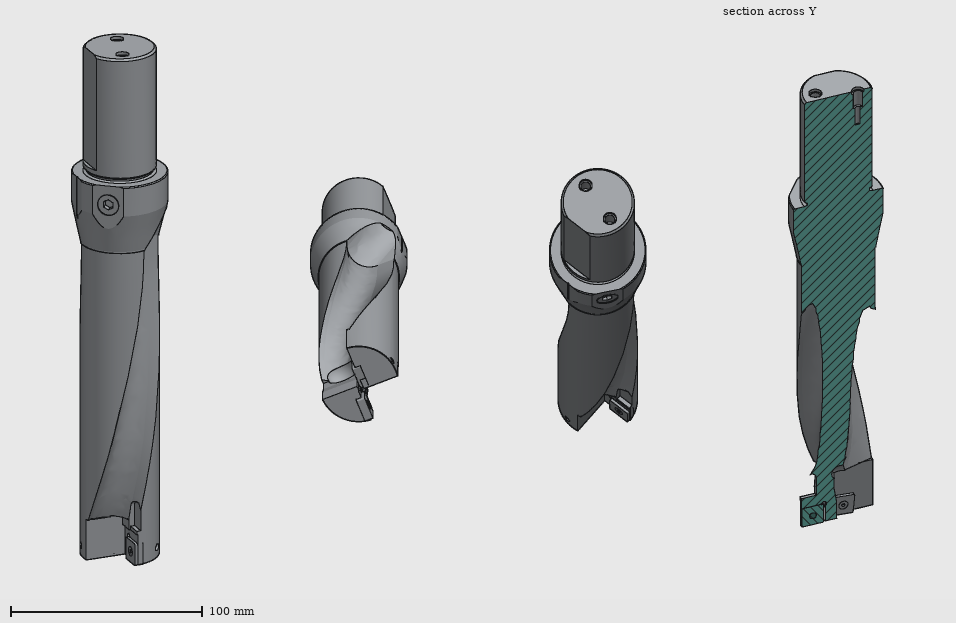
import cadquery as cq
import math

TIP_Z = 0.5
TUBE_TOP_Z = 176.5
NECK_LAND = 0.9
FLANGE_BOTTOM_Z = 198.7
FLANGE_TOP_Z = 215.2
SHANK_BOTTOM_Z = 217.0
TOTAL_HEIGHT = 284.5

TUBE_DIAMETER = 41.8
TUBE_R = TUBE_DIAMETER / 2
NECK_BASE_R = 21.3
FLANGE_R = 25.3
FLANGE_CHAMFER = 0.5
COLLAR_R = 19.4
COLLAR_HEIGHT = 0.5
GROOVE_R = 17.6
SHANK_DIAMETER = 38.5
SHANK_R = SHANK_DIAMETER / 2
SHANK_CHAMFER = 1.0
TIP_CHAMFER = 0.3

SHANK_FLAT_OFFSET = 17.0
SHANK_FLAT_BOTTOM_Z = 220.5

FRONT_FLAT_OFFSET = 24.5
MARK_WIDTH = 0.9
MARK_DEPTH = 0.43
PLUG_FLAT_OFFSET = 24.0
PLUG_ANGLE = -38.0

PLUG_Z = 204.5
PLUG_R = 5.7
PLUG_DEPTH = 7.0
PLUG_RECESS = 0.5
PLUG_HEX = 5.7
PLUG_HEX_DEPTH = 3.5

INLET_X = 10.8
INLET_Y = -3.0
INLET_STEPS = [(3.5, 1.7), (2.5, 11.5), (1.5, 22.8)]

FLUTE_WALL_OFFSET = 2.42
FLUTE_FILLET_R = 11.7
FLUTE_LIP_ANGLE = 18.0
FLUTE_LIMIT = 27.0
INNER_FLUTE_BOTTOM_Z = 31.0
OUTER_FLUTE_BOTTOM_Z = 22.8
FLARE_START_Z = 71.2
INNER_FLARE_RATE = 0.004216
OUTER_FLARE_RATE = 0.001581
FLUTE_SECTIONS = 12
TWIST_RATE = 0.7378
TWIST_RUN_IN = 53.5
INNER_FLUTE_FLOOR = 0.0
OUTER_FLUTE_FLOOR = 3.7

RUNOUT_SHIFT_X = -5.0
RUNOUT_SHIFT_Y = -18.8

BALL_R = 8.5
BALL_CENTER = (-0.9, 9.7, INNER_FLUTE_BOTTOM_Z)

SEAT_Y = 1.57
INNER_WALL_X = 0.9
INNER_RAMP_TOP_Z = 21.3
INNER_RAMP_Z = 12.0
INNER_RAMP_DEPTH = 1.5
INNER_UNDERCUT_X = 2.5
INNER_UNDERCUT_Y = 1.28
OUTER_WALL_X = 3.5
OUTER_POCKET_TOP_Z = 17.6
OUTER_LEDGE_TOP_Z = 19.5
OUTER_SHOULDER_TOP_Z = 23.3
OUTER_LAND_X = 12.5
OUTER_LAND_Y = 3.0
OUTER_LAND_TOP_Z = 34.2
OUTER_LAND_CORNER_R = 2.8

INSERT_THICKNESS = 4.5
INSERT_CORNER_R = 0.9
OUTER_INSERT_SIDE = 12.2
OUTER_INSERT_X = 14.2
OUTER_INSERT_Z = 6.3
SEAT_GAP = 0.9
SEAT_RELIEF_R = 1.5
INNER_INSERT_SIDE = 12.0
INNER_INSERT_X = -3.7
INNER_INSERT_TILT = 5.0
SCREW_HEAD_R = 2.5
SCREW_SHANK_R = 1.7
SCREW_RECESS_R = 0.9
SCREW_RECESS_DEPTH = 1.0
SCREW_LENGTH = 11.5


def half_height(side, corner_r, tilt):
    """Half the Z extent of a rounded square turned by tilt degrees."""
    core = side / 2 - corner_r
    turn = math.radians(tilt)
    return core * (math.cos(turn) + math.sin(turn)) + corner_r


INNER_INSERT_Z = half_height(INNER_INSERT_SIDE, INSERT_CORNER_R, INNER_INSERT_TILT)


def box(x_range, y_range, z_range):
    """Box between the given limits."""
    size = [high - low for low, high in (x_range, y_range, z_range)]
    corner = (x_range[0], y_range[0], z_range[0])
    return cq.Workplane("XY").box(*size, centered=False).translate(corner)


def make_blank():
    """Turned outline of tube, neck, flange and shank."""
    outline = [
        (0, TIP_Z),
        (TUBE_R - TIP_CHAMFER, TIP_Z),
        (TUBE_R, TIP_Z + TIP_CHAMFER),
        (TUBE_R, TUBE_TOP_Z),
        (NECK_BASE_R, TUBE_TOP_Z),
        (NECK_BASE_R, TUBE_TOP_Z + NECK_LAND),
        (FLANGE_R, FLANGE_BOTTOM_Z),
        (FLANGE_R, FLANGE_TOP_Z - FLANGE_CHAMFER),
        (FLANGE_R - FLANGE_CHAMFER, FLANGE_TOP_Z),
        (COLLAR_R, FLANGE_TOP_Z),
        (GROOVE_R, FLANGE_TOP_Z + COLLAR_HEIGHT),
        (GROOVE_R, SHANK_BOTTOM_Z),
        (SHANK_R - SHANK_CHAMFER, SHANK_BOTTOM_Z),
        (SHANK_R, SHANK_BOTTOM_Z + SHANK_CHAMFER),
        (SHANK_R, TOTAL_HEIGHT - SHANK_CHAMFER),
        (SHANK_R - SHANK_CHAMFER, TOTAL_HEIGHT),
        (0, TOTAL_HEIGHT),
    ]
    return cq.Workplane("XZ").polyline(outline).close().revolve(360, (0, 0), (0, 1))


def make_side_flat(offset, angle, bottom_z, top_z):
    """Cutter that leaves a flat at a distance from the axis, facing the given angle."""
    width = 2 * FLANGE_R
    cutter = box((offset, offset + width), (-width / 2, width / 2), (bottom_z, top_z))
    return cutter.rotate((0, 0, 0), (0, 0, 1), angle)


def twist(z):
    """Turn of the flute in degrees: straight at the neck, then a steady helix."""
    run = TUBE_TOP_Z - z
    return TWIST_RATE * (math.hypot(run, TWIST_RUN_IN) - TWIST_RUN_IN)


def flare(z, flare_rate):
    """Extra depth of the flute floor, growing toward the tip."""
    return flare_rate * max(FLARE_START_Z - z, 0) ** 2


def flute_section(z, floor_offset, flare_rate):
    """Flute section of a straight wall, a round and a sloping lip, turned to suit its height."""
    wall_x = -FLUTE_WALL_OFFSET
    floor_y = flare(z, flare_rate) - floor_offset
    center_x = wall_x - FLUTE_FILLET_R
    center_y = floor_y - FLUTE_FILLET_R
    diagonal = FLUTE_FILLET_R * math.sqrt(0.5)
    lip = math.radians(FLUTE_LIP_ANGLE)
    lip_x = center_x - FLUTE_FILLET_R * math.sin(lip)
    lip_y = center_y + FLUTE_FILLET_R * math.cos(lip)
    lip_end_y = lip_y - (FLUTE_LIMIT + lip_x) * math.tan(lip)
    section = (
        cq.Workplane("XY")
        .moveTo(-FLUTE_LIMIT, lip_end_y)
        .lineTo(lip_x, lip_y)
        .threePointArc((center_x + diagonal, center_y + diagonal), (wall_x, center_y))
        .lineTo(wall_x, -FLUTE_LIMIT)
        .lineTo(-FLUTE_LIMIT, -FLUTE_LIMIT)
        .close()
    )
    wire = section.val().rotate(cq.Vector(0, 0, 0), cq.Vector(0, 0, 1), -twist(z))
    return wire.translate(cq.Vector(0, 0, z))


def make_flute(floor_offset, flare_rate, bottom_z):
    """Helical flute cutter."""
    step = (TUBE_TOP_Z - bottom_z) / (FLUTE_SECTIONS - 1)
    heights = [bottom_z + step * i for i in range(FLUTE_SECTIONS)]
    sections = [flute_section(z, floor_offset, flare_rate) for z in heights]
    return cq.Workplane(cq.Solid.makeLoft(sections))


def make_runout(floor_offset):
    """Cutter that leads a flute outward through the neck up to the flange."""
    start = flute_section(TUBE_TOP_Z, floor_offset, 0)
    end = start.translate(cq.Vector(RUNOUT_SHIFT_X, RUNOUT_SHIFT_Y, FLANGE_BOTTOM_Z - TUBE_TOP_Z))
    return cq.Workplane(cq.Solid.makeLoft([start, end], True))


def make_inner_pocket():
    """Cutter for the chip space above the inner insert."""
    far = 2 * TUBE_R
    outline = [
        (-far, 0),
        (INNER_WALL_X, 0),
        (INNER_WALL_X, INNER_RAMP_Z),
        (INNER_WALL_X + INNER_RAMP_DEPTH, INNER_RAMP_TOP_Z),
        (INNER_WALL_X + INNER_RAMP_DEPTH, INNER_FLUTE_BOTTOM_Z),
        (-far, INNER_FLUTE_BOTTOM_Z),
    ]
    pocket = cq.Workplane("XZ").polyline(outline).close().extrude(-far)
    pocket = pocket.translate((0, -SEAT_Y, 0))
    undercut = box((-far, INNER_UNDERCUT_X), (-SEAT_Y, INNER_UNDERCUT_Y), (0, INNER_RAMP_TOP_Z))
    return pocket.union(undercut)


def make_outer_pocket():
    """Cutter for the chip space above the outer insert, with a ledge and a flat land."""
    far = 2 * TUBE_R
    pocket = box((OUTER_WALL_X, far), (-far, SEAT_Y), (0, OUTER_POCKET_TOP_Z))
    ledge = box((OUTER_LAND_X, far), (-far, SEAT_Y / 2), (0, OUTER_LEDGE_TOP_Z))
    land = box((OUTER_LAND_X, far), (-far, OUTER_LAND_Y), (OUTER_LEDGE_TOP_Z, OUTER_LAND_TOP_Z))
    land = land.edges("|Y and <X and >Z").fillet(OUTER_LAND_CORNER_R)
    shoulder = box((OUTER_WALL_X, far), (-far, 0), (0, OUTER_SHOULDER_TOP_Z))
    return pocket.union(ledge).union(land).union(shoulder)


def make_insert_block(side, tilt, depth):
    """Rounded square block with its top at Y = 0, running toward +Y."""
    block = cq.Workplane("XY").box(side, depth, side).edges("|Y").fillet(INSERT_CORNER_R)
    return block.translate((0, depth / 2, 0)).rotate((0, 0, 0), (0, 1, 0), tilt)


def make_insert(side, tilt):
    """Cutting insert with a countersunk hole."""
    return make_insert_block(side, tilt, INSERT_THICKNESS).cut(make_screw_envelope())


def make_screw_envelope():
    """Countersunk screw along +Y with its head flush at Y = 0."""
    outline = [
        (0, 0),
        (SCREW_HEAD_R, 0),
        (SCREW_SHANK_R, INSERT_THICKNESS / 2),
        (SCREW_SHANK_R, SCREW_LENGTH),
        (0, SCREW_LENGTH),
    ]
    return cq.Workplane("XY").polyline(outline).close().revolve(360, (0, 0), (0, 1))


def make_screw():
    """Insert screw with a round drive recess."""
    recess = cq.Workplane("XZ").circle(SCREW_RECESS_R).extrude(-SCREW_RECESS_DEPTH)
    return make_screw_envelope().cut(recess)


def make_outer_seat():
    """Seat cutter with a gap along the inboard side and a round relief in its upper corner."""
    seat = make_insert_block(OUTER_INSERT_SIDE, 0, INSERT_THICKNESS)
    gap = make_insert_block(OUTER_INSERT_SIDE, 0, INSERT_THICKNESS).translate((-SEAT_GAP, 0, 0))
    half = OUTER_INSERT_SIDE / 2
    relief = cq.Workplane("XZ", origin=(-half, 0, half)).circle(SEAT_RELIEF_R).extrude(-INSERT_THICKNESS)
    return seat.union(gap).union(relief)


def place_outer(shape):
    """Set the shape at the outer seat, facing -Y."""
    return shape.translate((OUTER_INSERT_X, 0, OUTER_INSERT_Z))


def place_inner(shape):
    """Turn the shape to face +Y and set it at the inner seat."""
    turned = shape.rotate((0, 0, 0), (0, 0, 1), 180)
    return turned.translate((INNER_INSERT_X, 0, INNER_INSERT_Z))


def place_plug(shape):
    """Turn a shape built along +X so that it stands on the plug flat."""
    raised = shape.translate((PLUG_FLAT_OFFSET, 0, PLUG_Z))
    return raised.rotate((0, 0, 0), (0, 0, 1), PLUG_ANGLE)


def make_plug_hole():
    """Bore cutter for the coolant plug."""
    return place_plug(cq.Workplane("YZ").circle(PLUG_R).extrude(-PLUG_DEPTH - PLUG_RECESS))


def make_plug():
    """Coolant plug with a hexagon socket, set slightly below its flat."""
    plug = cq.Workplane("YZ").circle(PLUG_R).extrude(-PLUG_DEPTH)
    plug = plug.faces(">X").workplane().polygon(6, PLUG_HEX).cutBlind(-PLUG_HEX_DEPTH)
    plug = plug.rotate((0, 0, 0), (1, 0, 0), 90).translate((-PLUG_RECESS, 0, 0))
    return place_plug(plug)


def make_coolant_inlet():
    """Stepped inlet cutter at the shank end."""
    mouth = cq.Workplane("XY", origin=(INLET_X, INLET_Y, TOTAL_HEIGHT))
    inlet = cq.Workplane("XY")
    for radius, depth in INLET_STEPS:
        inlet = inlet.add(mouth.circle(radius).extrude(-depth))
    return inlet.combine()


def half_turn(shape):
    """Turn the shape 180 degrees about the axis."""
    return shape.rotate((0, 0, 0), (0, 0, 1), 180)


def make_body():
    """Drill body with its flats, bores, flutes and insert seats."""
    body = make_blank()

    body = body.cut(make_side_flat(SHANK_FLAT_OFFSET, -90, SHANK_FLAT_BOTTOM_Z, TOTAL_HEIGHT))
    body = body.cut(make_side_flat(FRONT_FLAT_OFFSET, -90, TUBE_TOP_Z, FLANGE_TOP_Z))
    body = body.cut(make_side_flat(PLUG_FLAT_OFFSET, PLUG_ANGLE, TUBE_TOP_Z, FLANGE_TOP_Z))
    body = body.cut(make_plug_hole())
    mark = box(
        (-MARK_WIDTH / 2, MARK_WIDTH / 2),
        (-FLANGE_R, MARK_DEPTH - FRONT_FLAT_OFFSET),
        (TUBE_TOP_Z, FLANGE_TOP_Z),
    )
    body = body.cut(mark)

    inlet = make_coolant_inlet()
    body = body.cut(inlet).cut(half_turn(inlet))

    body = body.cut(make_flute(INNER_FLUTE_FLOOR, INNER_FLARE_RATE, INNER_FLUTE_BOTTOM_Z))
    body = body.cut(make_runout(INNER_FLUTE_FLOOR))
    body = body.cut(half_turn(make_flute(OUTER_FLUTE_FLOOR, OUTER_FLARE_RATE, OUTER_FLUTE_BOTTOM_Z)))
    body = body.cut(half_turn(make_runout(OUTER_FLUTE_FLOOR)))
    body = body.cut(cq.Workplane("XY").sphere(BALL_R).translate(BALL_CENTER))

    body = body.cut(make_inner_pocket()).cut(make_outer_pocket())

    inner_seat = make_insert_block(INNER_INSERT_SIDE, INNER_INSERT_TILT, INSERT_THICKNESS)
    body = body.cut(place_inner(inner_seat)).cut(place_outer(make_outer_seat()))

    screw_hole = cq.Workplane("XZ").circle(SCREW_SHANK_R).extrude(-2 * TUBE_R)
    return body.cut(place_inner(screw_hole)).cut(place_outer(screw_hole))


body = make_body()
plug = make_plug()
inner_insert = place_inner(make_insert(INNER_INSERT_SIDE, INNER_INSERT_TILT))
outer_insert = place_outer(make_insert(OUTER_INSERT_SIDE, 0))
screws = [place(make_screw()) for place in (place_inner, place_outer)]

result = cq.Compound.makeCompound([
    body.val(),
    plug.val(),
    inner_insert.val(),
    outer_insert.val(),
    *[screw.val() for screw in screws],
])